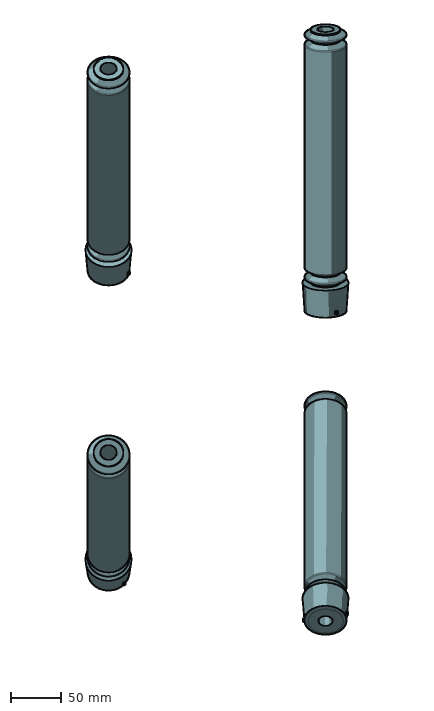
import cadquery as cq
import math

total_height = 298.5
barrel_radius = 42.0 / 2

cone_angle = math.radians(30)
edge_radius = 1.5
upper_neck_height = 287.5
lower_neck_height = 41.5
neck_radius = 28.7 / 2
neck_width = 1.0

edge_rise = edge_radius * math.cos(cone_angle)
cone_outer_radius = barrel_radius - edge_radius * (1 - math.sin(cone_angle))
cone_rise = (cone_outer_radius - neck_radius) * math.tan(cone_angle)
groove_half_width = neck_width / 2 + cone_rise + edge_rise

collar_radius = 29.5 / 2

cup_height = 30.5
cup_top_radius = 46.0 / 2
cup_bottom_radius = 42.0 / 2
cup_base_radius = 35.0 / 2
cup_base_rise = 1.0

bore_diameter = 16.0
cup_bore_diameter = 14.0

pin_diameter = 4.0
pin_height = 5.7
pin_edge_chamfer = 0.5


def cylinder(radius, bottom, top):
    return cq.Workplane("XY").workplane(offset=bottom).circle(radius).extrude(top - bottom)


def barrel_section(bottom, top):
    """Straight cylinder from bottom to top with a rounded edge and a cone down to the neck at each end."""
    mid_angle = (math.pi / 2 - cone_angle) / 2
    arc_mid_radius = barrel_radius - edge_radius * (1 - math.cos(mid_angle))
    arc_mid_rise = edge_radius * math.sin(mid_angle)
    end_rise = edge_rise + cone_rise
    profile = (
        cq.Workplane("XZ")
        .moveTo(0, bottom - end_rise)
        .lineTo(neck_radius, bottom - end_rise)
        .lineTo(cone_outer_radius, bottom - edge_rise)
        .threePointArc((arc_mid_radius, bottom - arc_mid_rise), (barrel_radius, bottom))
    )
    if top > bottom:
        profile = profile.lineTo(barrel_radius, top)
    profile = (
        profile.threePointArc((arc_mid_radius, top + arc_mid_rise), (cone_outer_radius, top + edge_rise))
        .lineTo(neck_radius, top + end_rise)
        .lineTo(0, top + end_rise)
        .close()
    )
    return profile.revolve(360, (0, 0, 0), (0, 1, 0))


def make_barrel():
    """Main cylinder between two grooves, a rounded rim beyond each groove, and the top collar."""
    main = barrel_section(lower_neck_height + groove_half_width, upper_neck_height - groove_half_width)
    lower_rim_height = lower_neck_height - groove_half_width
    upper_rim_height = upper_neck_height + groove_half_width
    lower_rim = barrel_section(lower_rim_height, lower_rim_height)
    upper_rim = barrel_section(upper_rim_height, upper_rim_height)
    core = cylinder(neck_radius, cup_height, upper_rim_height)
    collar = cylinder(collar_radius, upper_rim_height, total_height)
    return core.union(main).union(lower_rim).union(upper_rim).union(collar)


def make_cup():
    return (
        cq.Workplane("XZ")
        .moveTo(0, 0)
        .lineTo(cup_base_radius, 0)
        .lineTo(cup_bottom_radius, cup_base_rise)
        .lineTo(cup_top_radius, cup_height)
        .lineTo(0, cup_height)
        .close()
        .revolve(360, (0, 0, 0), (0, 1, 0))
    )


def make_pins():
    """One cross bar whose two ends stand out of the cup along X."""
    return (
        cq.Workplane("YZ")
        .center(0, pin_height)
        .circle(pin_diameter / 2)
        .extrude(cup_top_radius, both=True)
        .edges("%CIRCLE")
        .chamfer(pin_edge_chamfer)
    )


bore = cylinder(bore_diameter / 2, cup_height, total_height)
cup_bore = cylinder(cup_bore_diameter / 2, 0, cup_height)

result = make_barrel().union(make_cup()).union(make_pins()).cut(bore).cut(cup_bore)